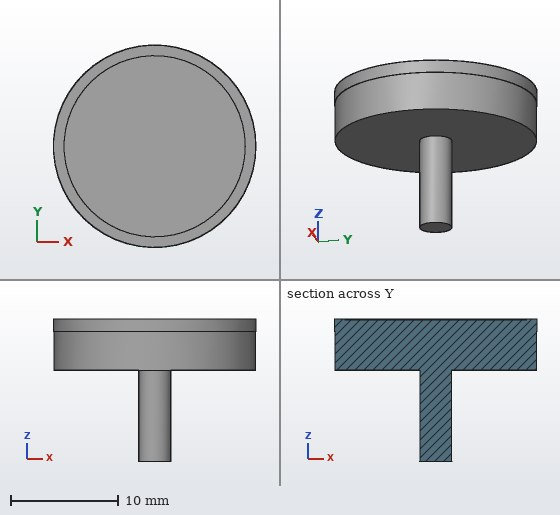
import cadquery as cq

rim_diameter = 18.9
rim_height = 1.2
body_diameter = 18.8
body_height = 3.61
stem_diameter = 3.0
stem_length = 8.5
recess_diameter = 16.9
recess_depth = 0.1

rim_bottom = body_height
rim_top = rim_bottom + rim_height


def disc(diameter, bottom, height):
    """Solid cylinder on the Z axis, standing on the given level."""
    return cq.Workplane("XY").workplane(offset=bottom).circle(diameter / 2).extrude(height)


stem = disc(stem_diameter, -stem_length, stem_length)
body = disc(body_diameter, 0, body_height)
rim = disc(rim_diameter, rim_bottom, rim_height)

recess = disc(recess_diameter, rim_top - recess_depth, recess_depth)

result = body.union(rim).union(stem).cut(recess)